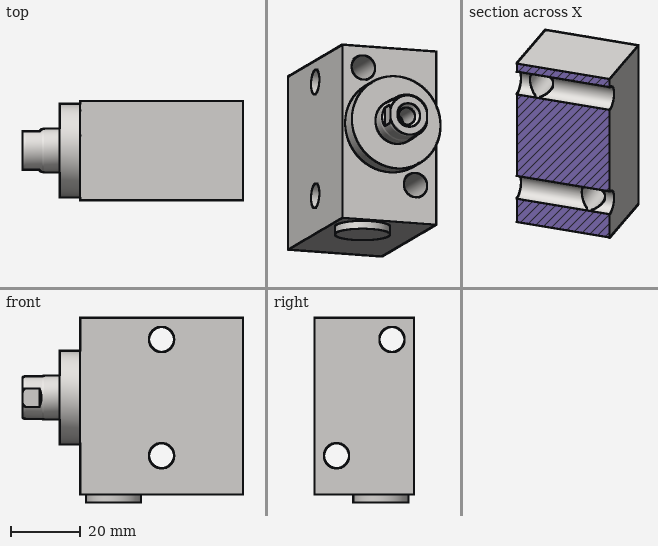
import math
import cadquery as cq

overall_length = 63.3
block_length = 46.77
block_width = 28.575
block_height = 50.8
axis_below_top = 22.96

flange_diameter = 27.0
flange_thickness = 5.87
collar_diameter = 12.7
collar_length = 4.33
collar_taper_length = 0.68
rod_tip_diameter = 12.32
rod_tip_radius = 1.5
rod_end_diameter = 11.45
rod_tip_x = block_length - overall_length

across_flats = 11.1
flat_length = 4.85

bore_mouth_diameter = 6.9
bore_cone_diameter = 6.4
bore_diameter = 5.0
bore_mouth_depth = 0.6
bore_cone_depth = 1.55
bore_depth = 12.0
drill_point_angle = 118

hole_diameter = 7.14
hole_spacing_y = 15.88
hole_spacing_z = 33.34

boss_diameter = 15.88
boss_height = 2.286
boss_x = 9.6
boss_y = 4.78

block_bottom_z = axis_below_top - block_height


def make_block():
    return cq.Workplane("XY").box(
        block_length, block_width, block_height, centered=(False, True, False)
    ).translate((0, 0, block_bottom_z))


def make_flange():
    return cq.Workplane("YZ").circle(flange_diameter / 2).extrude(-flange_thickness)


def make_rod():
    """Turned rod with a tapered collar and a rounded tip."""
    collar_start_x = -flange_thickness - collar_length
    taper_start_x = collar_start_x - collar_taper_length
    tip_radius = rod_tip_diameter / 2
    radial_drop = tip_radius - rod_end_diameter / 2
    round_angle = math.acos(1 - radial_drop / rod_tip_radius)
    round_length = rod_tip_radius * math.sin(round_angle)
    half_angle = round_angle / 2
    round_start_x = rod_tip_x + round_length
    arc_middle = (
        round_start_x - rod_tip_radius * math.sin(half_angle),
        tip_radius - rod_tip_radius * (1 - math.cos(half_angle)),
    )
    return (
        cq.Workplane("XY")
        .moveTo(0, 0)
        .lineTo(0, collar_diameter / 2)
        .lineTo(collar_start_x, collar_diameter / 2)
        .lineTo(taper_start_x, tip_radius)
        .lineTo(round_start_x, tip_radius)
        .threePointArc(arc_middle, (rod_tip_x, rod_end_diameter / 2))
        .lineTo(rod_tip_x, 0)
        .close()
        .revolve(360, (0, 0, 0), (1, 0, 0))
    )


def make_flat_cutter(side):
    """Prism removing the rod outside one flat; side is +1 or -1 along Y."""
    flat_y = across_flats / 2
    outer_y = collar_diameter / 2
    flat_end_x = rod_tip_x + flat_length
    runout = outer_y - flat_y
    return (
        cq.Workplane("XY")
        .polyline([
            (rod_tip_x, side * flat_y),
            (flat_end_x, side * flat_y),
            (flat_end_x + runout, side * outer_y),
            (rod_tip_x, side * outer_y),
        ])
        .close()
        .extrude(collar_diameter / 2, both=True)
    )


def make_bore():
    """Blind bore with a two-step tapered mouth and a conical drill point."""
    bore_radius = bore_diameter / 2
    mouth_radius = bore_mouth_diameter / 2
    bore_end_x = rod_tip_x + bore_depth
    point_length = bore_radius / math.tan(math.radians(drill_point_angle / 2))
    return (
        cq.Workplane("XY")
        .polyline([
            (rod_tip_x, 0),
            (rod_tip_x, mouth_radius),
            (rod_tip_x + bore_mouth_depth, bore_cone_diameter / 2),
            (rod_tip_x + bore_cone_depth, bore_radius),
            (bore_end_x, bore_radius),
            (bore_end_x + point_length, 0),
        ])
        .close()
        .revolve(360, (0, 0, 0), (1, 0, 0))
    )


def make_boss():
    return (
        cq.Workplane("XY", origin=(boss_x, boss_y, block_bottom_z))
        .circle(boss_diameter / 2)
        .extrude(-boss_height)
    )


def make_lengthwise_hole(side):
    """Hole through the block along X; the two sit at diagonal corners."""
    return (
        cq.Workplane("YZ")
        .center(side * hole_spacing_y / 2, side * hole_spacing_z / 2)
        .circle(hole_diameter / 2)
        .extrude(block_length)
    )


def make_cross_hole(side):
    """Hole through the block along Y, at mid length."""
    return (
        cq.Workplane("XZ")
        .center(block_length / 2, side * hole_spacing_z / 2)
        .circle(hole_diameter / 2)
        .extrude(block_width / 2, both=True)
    )


result = make_block().union(make_flange()).union(make_rod()).union(make_boss())
result = result.cut(make_bore())
for side in (-1, 1):
    result = result.cut(make_flat_cutter(side))
    result = result.cut(make_lengthwise_hole(side))
    result = result.cut(make_cross_hole(side))